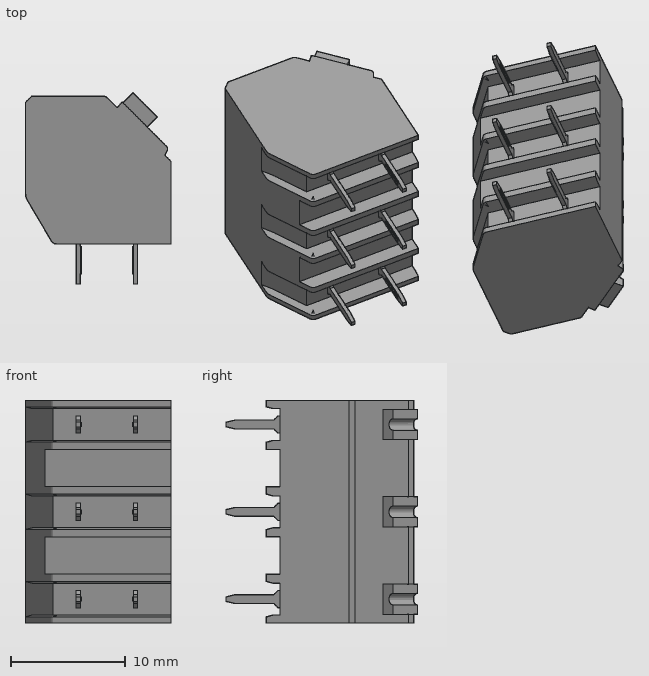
import cadquery as cq
import math

WIDTH = 12.7
DEPTH = 12.9
HEIGHT = 19.44
BACK_LEFT_CHAMFER = 0.54
FRONT_LEFT_ANGLE = math.radians(59.5)
FRONT_LEFT_RISE = 4.08
UPPER_BLEND = 1.0
LOWER_BLEND = 0.5

BACK_EDGE_END = 7.0
BACK_EDGE_BLEND = 0.4
BACK_NOTCH = (8.0, DEPTH - 1.0)
FACE_START = (8.43, 12.41)
FACE_END = (12.33, 8.51)
NOSE_MIDDLE = (12.41, 8.28)
NOSE_END = (12.36, 8.1)
SIDE_NOTCH = (12.17, 7.74)
RIGHT_WALL_TOP = 7.22

POLE_COUNT = 3
POLE_PITCH = 7.62
POLE_LEVELS = [HEIGHT / 2 + (i - (POLE_COUNT - 1) / 2) * POLE_PITCH for i in range(POLE_COUNT)]
GAP_LEVELS = [(low + high) / 2 for low, high in zip(POLE_LEVELS, POLE_LEVELS[1:])]

RECESS_DEPTH = 1.2
SLOPE_RECESS_DEPTH = 0.6
POLE_RECESS_HEIGHT = 2.76
GAP_RECESS_HEIGHT = 3.23
BEVEL_RISE = 0.162
BEVEL_RUN = 0.6

BUTTON_OFFSET = 0.1
BUTTON_LENGTH = 3.02
BUTTON_PROJECTION = 1.24
BUTTON_HEIGHT = 2.64
BUTTON_GROOVE_RADIUS = 0.5

PIN_CENTRES = (4.6, 9.6)
PIN_THICKNESS = 0.36
PIN_WIDTH = 0.8
PIN_TIP_WIDTH = 0.4
PIN_TIP_Y = -3.5
PIN_TAPER_Y = -2.7
SHOULDER_WIDTH = 1.52
SHOULDER_LENGTH = 0.16
RIB_WIDTH = 0.34
RIB_HEIGHT = 0.1
RIB_START_Y = -0.2
RIB_END_Y = -2.6

OVERSHOOT = 1.0
EMBED = 0.5


def blend_vertical_edge(solid, x, y, radius):
    """Round the Z edge of the solid standing at (x, y)."""
    tolerance = 0.01
    low = (x - tolerance, y - tolerance, -OVERSHOOT)
    high = (x + tolerance, y + tolerance, HEIGHT + OVERSHOOT)
    return solid.edges(cq.selectors.BoxSelector(low, high)).fillet(radius)


def blend_front_left(solid):
    """Round both ends of the sloped front left wall."""
    solid = blend_vertical_edge(solid, 0, FRONT_LEFT_RISE, UPPER_BLEND)
    return blend_vertical_edge(solid, slope_x(0), 0, LOWER_BLEND)


def slope_x(y, inset=0.0):
    """X of the sloped front left wall at y, moved into the housing by inset."""
    return (FRONT_LEFT_RISE - y) / math.tan(FRONT_LEFT_ANGLE) + inset / math.sin(FRONT_LEFT_ANGLE)


def make_housing():
    solid = (
        cq.Workplane("XY")
        .moveTo(slope_x(0), 0)
        .lineTo(WIDTH, 0)
        .lineTo(WIDTH, RIGHT_WALL_TOP)
        .lineTo(*SIDE_NOTCH)
        .lineTo(*NOSE_END)
        .threePointArc(NOSE_MIDDLE, FACE_END)
        .lineTo(*FACE_START)
        .lineTo(*BACK_NOTCH)
        .lineTo(BACK_EDGE_END, DEPTH)
        .lineTo(BACK_LEFT_CHAMFER, DEPTH)
        .lineTo(0, DEPTH - BACK_LEFT_CHAMFER)
        .lineTo(0, FRONT_LEFT_RISE)
        .close()
        .extrude(HEIGHT)
    )
    solid = blend_vertical_edge(solid, BACK_EDGE_END, DEPTH, BACK_EDGE_BLEND)
    return blend_front_left(solid)


def make_recess_prism(height):
    """Space in front of the pole recess floor, standing on Z = 0."""
    right = WIDTH + OVERSHOOT
    front = -OVERSHOOT
    left = -OVERSHOOT
    left_y = FRONT_LEFT_RISE + SLOPE_RECESS_DEPTH / math.cos(FRONT_LEFT_ANGLE)
    outline = [
        (right, front),
        (right, RECESS_DEPTH),
        (slope_x(RECESS_DEPTH, SLOPE_RECESS_DEPTH), RECESS_DEPTH),
        (0, left_y),
        (left, left_y),
        (left, front),
    ]
    return cq.Workplane("XY").polyline(outline).close().extrude(height)


def make_bevel_core():
    """Material left inside the flared recess mouth, narrowing upwards from Z = 0."""
    far_right = WIDTH + 2 * OVERSHOOT
    outline = [
        (slope_x(0), 0),
        (far_right, 0),
        (far_right, DEPTH),
        (0, DEPTH),
        (0, FRONT_LEFT_RISE),
    ]
    block = cq.Workplane("XY").polyline(outline).close().extrude(BEVEL_RISE)
    block = blend_front_left(block)
    taper = math.degrees(math.atan2(BEVEL_RUN, BEVEL_RISE))
    return block.faces("<Z").wires().toPending().extrude(BEVEL_RISE, taper=taper, combine=False)


def make_pole_recess():
    """Cutter for one pole, centred on Z = 0, flared towards the mouth."""
    half = POLE_RECESS_HEIGHT / 2
    bevel = make_recess_prism(BEVEL_RISE).cut(make_bevel_core())
    lower_bevel = bevel.translate((0, 0, -half - BEVEL_RISE))
    upper_bevel = lower_bevel.mirror("XY")
    slot = make_recess_prism(POLE_RECESS_HEIGHT).translate((0, 0, -half))
    return slot.union(lower_bevel).union(upper_bevel)


def make_gap_recess():
    """Cutter between two poles, centred on Z = 0."""
    length = WIDTH + 2 * OVERSHOOT
    depth = RECESS_DEPTH + OVERSHOOT
    centre = (WIDTH / 2, RECESS_DEPTH - depth / 2)
    return cq.Workplane("XY").center(*centre).box(length, depth, GAP_RECESS_HEIGHT)


def make_button():
    """Button with a round-bottomed groove, centred on Z = 0."""
    along = cq.Vector(1, -1, 0).normalized()
    corner = cq.Vector(*FACE_START, 0) + along * BUTTON_OFFSET
    section = cq.Plane(origin=corner.toTuple(), xDir=(0, 0, -1), normal=along.toTuple())
    height = BUTTON_PROJECTION + EMBED
    centre_y = (BUTTON_PROJECTION - EMBED) / 2
    block = cq.Workplane(section).center(0, centre_y).rect(BUTTON_HEIGHT, height)
    groove = cq.Workplane(section).center(0, BUTTON_PROJECTION).circle(BUTTON_GROOVE_RADIUS)
    return block.extrude(BUTTON_LENGTH).cut(groove.extrude(BUTTON_LENGTH))


def make_pin(x, rib_side):
    """Flat pin centred on Z = 0; rib_side is +1 for a rib facing +X, -1 for -X."""
    shoulder_y = RECESS_DEPTH - SHOULDER_LENGTH
    neck_y = shoulder_y - (SHOULDER_WIDTH - PIN_WIDTH) / 2
    half_outline = [
        (RECESS_DEPTH + EMBED, SHOULDER_WIDTH / 2),
        (shoulder_y, SHOULDER_WIDTH / 2),
        (neck_y, PIN_WIDTH / 2),
        (PIN_TAPER_Y, PIN_WIDTH / 2),
        (PIN_TIP_Y, PIN_TIP_WIDTH / 2),
    ]
    outline = half_outline + [(y, -z) for y, z in reversed(half_outline)]
    blade = cq.Workplane("YZ").polyline(outline).close().extrude(PIN_THICKNESS / 2, both=True)
    rib_length = RIB_START_Y - RIB_END_Y
    rib_reach = PIN_THICKNESS / 2 + RIB_HEIGHT
    rib = (
        cq.Workplane("XY")
        .box(rib_reach, rib_length, RIB_WIDTH)
        .translate((rib_side * rib_reach / 2, (RIB_START_Y + RIB_END_Y) / 2, 0))
    )
    return blade.union(rib).translate((x, 0, 0))


def make_terminal_block():
    body = make_housing()
    pole_recess = make_pole_recess()
    gap_recess = make_gap_recess()
    left_pin = make_pin(PIN_CENTRES[0], 1)
    right_pin = make_pin(PIN_CENTRES[1], -1)
    button = make_button()
    for z in GAP_LEVELS:
        body = body.cut(gap_recess.translate((0, 0, z)))
    for z in POLE_LEVELS:
        body = body.cut(pole_recess.translate((0, 0, z)))
        for feature in (left_pin, right_pin, button):
            body = body.union(feature.translate((0, 0, z)))
    return body


result = make_terminal_block()